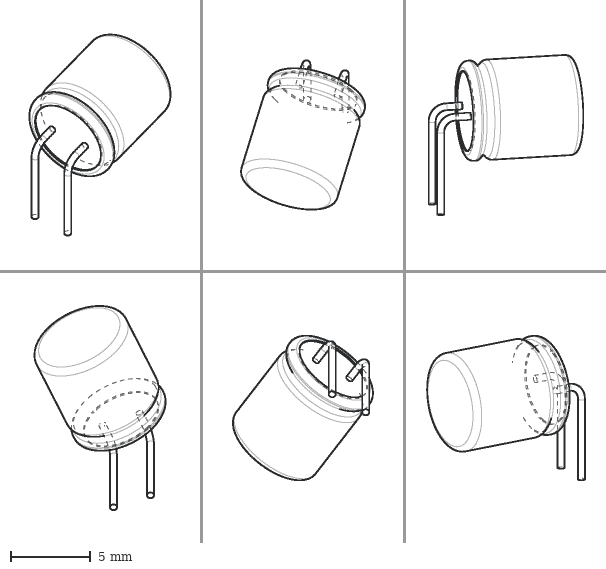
import cadquery as cq
import math


can_diameter = 6.3
can_length = 7.0
end_radius = 0.4
recess_diameter = 5.04
recess_depth = 0.1

rim_land = 0.1
groove_depth = 0.3
groove_radius = 0.3
front_shoulder_radius = 0.3
back_shoulder_radius = 0.4

lead_diameter = 0.45
lead_pitch = 2.5
lead_bend_radius = 0.9
overall_length = 9.03
overall_height = 9.4

can_radius = can_diameter / 2
recess_radius = recess_diameter / 2
lead_radius = lead_diameter / 2


def shoulder_angle(shoulder_radius):
    """Angle swept by a shoulder arc, equal to that of the groove arc it meets."""
    radius_sum = shoulder_radius + groove_radius
    return math.acos(1 - groove_depth / radius_sum)


def shoulder_span(shoulder_radius):
    """Length along Y from the groove middle to where the shoulder meets the can wall."""
    return (shoulder_radius + groove_radius) * math.sin(shoulder_angle(shoulder_radius))


def shoulder_point(shoulder_radius, wall_y, angle, direction):
    """Point on a shoulder arc, turned by angle from its start on the can wall."""
    radial = can_radius - shoulder_radius * (1 - math.cos(angle))
    return (radial, wall_y + direction * shoulder_radius * math.sin(angle))


def make_can():
    front_wall_y = end_radius + rim_land
    groove_y = front_wall_y + shoulder_span(front_shoulder_radius)
    back_wall_y = groove_y + shoulder_span(back_shoulder_radius)
    front_angle = shoulder_angle(front_shoulder_radius)
    back_angle = shoulder_angle(back_shoulder_radius)
    toward_back = 1
    toward_front = -1

    front_mid = shoulder_point(front_shoulder_radius, front_wall_y, front_angle / 2, toward_back)
    front_end = shoulder_point(front_shoulder_radius, front_wall_y, front_angle, toward_back)
    back_mid = shoulder_point(back_shoulder_radius, back_wall_y, back_angle / 2, toward_front)
    back_end = shoulder_point(back_shoulder_radius, back_wall_y, back_angle, toward_front)

    profile = (
        cq.Workplane("XY")
        .moveTo(0, recess_depth)
        .lineTo(recess_radius, recess_depth)
        .lineTo(recess_radius, 0)
        .lineTo(can_radius - end_radius, 0)
        .tangentArcPoint((can_radius, end_radius), relative=False)
        .lineTo(can_radius, front_wall_y)
        .threePointArc(front_mid, front_end)
        .threePointArc((can_radius - groove_depth, groove_y), back_end)
        .threePointArc(back_mid, (can_radius, back_wall_y))
        .lineTo(can_radius, can_length - end_radius)
        .tangentArcPoint((can_radius - end_radius, can_length), relative=False)
        .lineTo(0, can_length)
        .close()
    )
    return profile.revolve(360, (0, 0, 0), (0, 1, 0))


def make_lead(x):
    """Round wire leaving the sealing disc along -Y and bent down to -Z."""
    drop_y = can_length - overall_length + lead_radius
    tip_z = can_radius - overall_height
    root_y = end_radius
    path = (
        cq.Workplane("YZ", origin=(x, 0, 0))
        .moveTo(root_y, 0)
        .lineTo(drop_y + lead_bend_radius, 0)
        .tangentArcPoint((drop_y, -lead_bend_radius), relative=False)
        .lineTo(drop_y, tip_z)
    )
    section = cq.Workplane("XZ", origin=(x, root_y, 0)).circle(lead_radius)
    return section.sweep(path)


result = make_can()
for side in (-1, 1):
    result = result.union(make_lead(side * lead_pitch / 2))